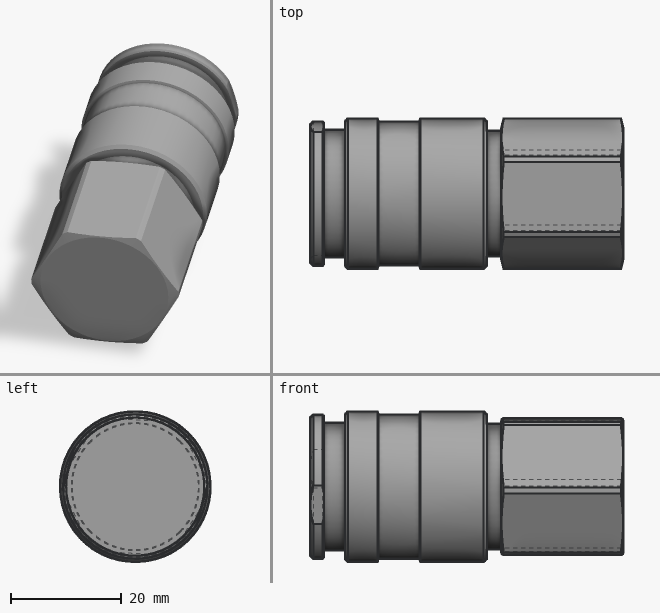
import cadquery as cq
import math

total_length = 56.45
sleeve_dia = 27.15

flange_dia = 26.0
flange_length = 2.5
flange_front_chamfer = 0.55
flange_rear_chamfer = 0.3
flange_flat_width = 25.0
flange_flat_angle = 15.0

front_neck_dia = 23.1
rear_neck_dia = 22.75

sleeve_start = 6.25
sleeve_end = 31.85
sleeve_chamfer = 0.55
band_dia = 26.0
band_start = 12.3
band_end = 19.7
band_ramp = 0.15

hex_start = 34.45
hex_across_flats = 24.05
hex_corner_dia = sleeve_dia
hex_face_dia = 23.55
hex_chamfer_run = 0.45
hex_angle = 3.0


def revolve_outline(outline):
    """Turn (x, diameter) stations into a solid of revolution about X."""
    points = [(x, diameter / 2) for x, diameter in outline]
    closed = [(outline[0][0], 0), *points, (outline[-1][0], 0)]
    return cq.Workplane("XY").polyline(closed).close().revolve(360, (0, 0, 0), (1, 0, 0))


def make_flange():
    flange = (
        cq.Workplane("YZ")
        .circle(flange_dia / 2)
        .extrude(flange_length)
        .faces("<X").chamfer(flange_front_chamfer)
        .faces(">X").chamfer(flange_rear_chamfer)
    )
    flats = (
        cq.Workplane("YZ")
        .transformed(rotate=(0, 0, flange_flat_angle))
        .rect(flange_flat_width, 2 * flange_dia)
        .extrude(flange_length)
    )
    return flange.intersect(flats)


def make_sleeve():
    return revolve_outline([
        (sleeve_start, sleeve_dia - 2 * sleeve_chamfer),
        (sleeve_start + sleeve_chamfer, sleeve_dia),
        (band_start - band_ramp, sleeve_dia),
        (band_start, band_dia),
        (band_end, band_dia),
        (band_end + band_ramp, sleeve_dia),
        (sleeve_end - sleeve_chamfer, sleeve_dia),
        (sleeve_end, sleeve_dia - 2 * sleeve_chamfer),
    ])


def make_neck(start, end, diameter):
    return cq.Workplane("YZ").workplane(offset=start).circle(diameter / 2).extrude(end - start)


def make_hexagon():
    prism = (
        cq.Workplane("YZ")
        .workplane(offset=hex_start)
        .transformed(rotate=(0, 0, hex_angle))
        .polygon(6, hex_across_flats / math.cos(math.pi / 6))
        .extrude(total_length - hex_start)
    )
    envelope = revolve_outline([
        (hex_start, hex_face_dia),
        (hex_start + hex_chamfer_run, hex_corner_dia),
        (total_length - hex_chamfer_run, hex_corner_dia),
        (total_length, hex_face_dia),
    ])
    return prism.intersect(envelope)


front_neck = make_neck(flange_length, sleeve_start, front_neck_dia)
rear_neck = make_neck(sleeve_end, hex_start, rear_neck_dia)

coupling = (
    make_flange()
    .union(front_neck)
    .union(make_sleeve())
    .union(rear_neck)
    .union(make_hexagon())
)

result = coupling.translate((-total_length / 2, 0, 0))